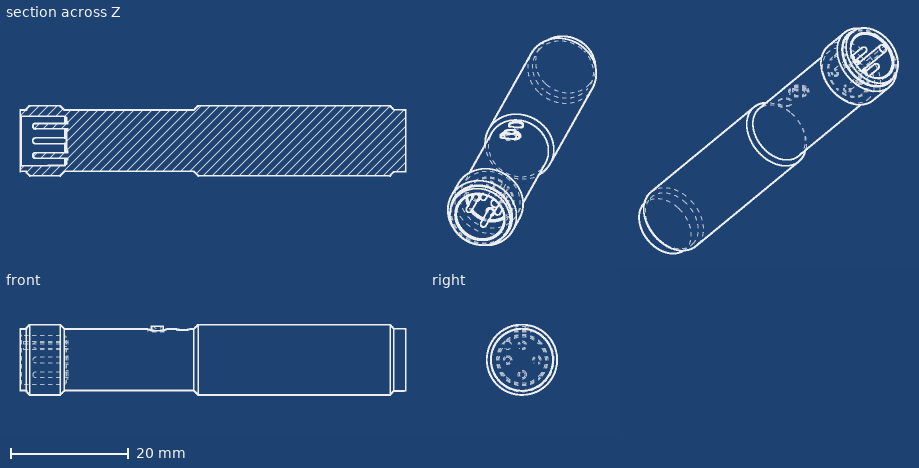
import cadquery as cq

length = 65.5
body_diameter = 12.0
neck_diameter = 10.5
nose_diameter = 10.6
nose_tip_diameter = 10.5
step_chamfer = (body_diameter - neck_diameter) / 2
collar_front_chamfer = 0.6
nose_step_length = 0.6
collar_start = 1.05
collar_end = 7.5
barrel_start = 29.5
barrel_end = 63.4
nose_taper = 0.4

socket_diameter = 8.3
socket_depth = 7.85
socket_lip = 0.2
floor_ledge_diameter = 7.85
floor_ledge_depth = 7.6
pin_diameter = 1.0
pin_tip_rounding = 0.45
pin_setback = 2.15
pin_well_diameter = 1.45
pin_well_depth = 0.2
pin_offset = 2.5
key_diameter = 1.4
key_setback = 0.5
key_angle = 135

screw_x = 23.3
screw_diameter = 2.0
screw_top = 5.7
screw_dish_diameter = 1.6
screw_dish_depth = 0.5
screw_well_diameter = 3.5
screw_well_floor_diameter = 3.0
screw_well_floor = 4.8
screw_well_ledge = 4.9
window_x = 27.7
window_diameter = 2.5
window_height = 5.0


def disc(diameter, x, thickness, y=0, z=0):
    """Cylinder along +X starting at the given point."""
    return cq.Workplane("YZ", origin=(x, y, z)).circle(diameter / 2).extrude(thickness)


def post(diameter, x, bottom, top):
    """Upright cylinder on the centre plane of the neck."""
    return cq.Workplane("XY", origin=(x, 0, bottom)).circle(diameter / 2).extrude(top - bottom)


def make_body():
    neck = disc(neck_diameter, 0, barrel_start)
    collar = disc(body_diameter, collar_start, collar_end - collar_start)
    collar = collar.faces(">X").chamfer(step_chamfer)
    collar = collar.faces("<X").chamfer(collar_front_chamfer)
    barrel = disc(body_diameter, barrel_start, barrel_end - barrel_start)
    barrel = barrel.faces("<X").chamfer(step_chamfer)
    nose_step = (body_diameter - nose_diameter) / 2
    barrel = barrel.faces(">X").chamfer(nose_step_length, nose_step)
    nose_drop = (nose_diameter - nose_tip_diameter) / 2
    nose = disc(nose_diameter, barrel_end, length - barrel_end)
    nose = nose.faces(">X").chamfer(nose_taper, nose_drop)
    return neck.union(collar).union(barrel).union(nose)


def add_socket(body):
    bore = disc(socket_diameter, 0, floor_ledge_depth)
    bore = bore.union(disc(floor_ledge_diameter, 0, socket_depth))
    bore = bore.rotate((0, 0, 0), (1, 0, 0), key_angle)
    key = disc(key_diameter, key_setback, socket_depth - key_setback, -pin_offset, pin_offset)
    lip = cq.Solid.makeCone(
        socket_diameter / 2 + socket_lip, socket_diameter / 2, socket_lip,
        cq.Vector(0, 0, 0), cq.Vector(1, 0, 0),
    )
    body = body.cut(bore.cut(key)).cut(cq.Workplane(lip))
    for y, z in [(pin_offset, 0), (-pin_offset, 0), (0, pin_offset), (0, -pin_offset)]:
        body = body.cut(disc(pin_well_diameter, socket_depth, pin_well_depth, y, z))
        pin_length = socket_depth + pin_well_depth - pin_setback
        pin = disc(pin_diameter, pin_setback, pin_length, y, z)
        body = body.union(pin.faces("<X").edges().fillet(pin_tip_rounding))
    return body


def add_screw(body):
    well = post(screw_well_diameter, screw_x, screw_well_ledge, body_diameter / 2)
    well = well.union(post(screw_well_floor_diameter, screw_x, screw_well_floor, screw_well_ledge))
    screw = post(screw_diameter, screw_x, screw_well_floor, screw_top)
    dish = cq.Solid.makeCone(
        0, screw_dish_diameter / 2, screw_dish_depth,
        cq.Vector(screw_x, 0, screw_top - screw_dish_depth), cq.Vector(0, 0, 1),
    )
    return body.cut(well).union(screw.cut(cq.Workplane(dish)))


def add_window(body):
    return body.cut(post(window_diameter, window_x, window_height, body_diameter / 2))


result = add_window(add_screw(add_socket(make_body())))